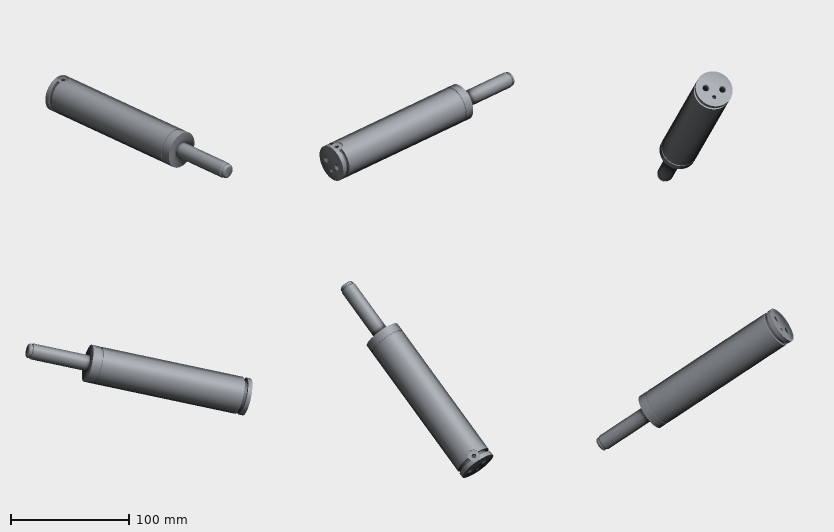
import cadquery as cq
import math

total_length = 195.0
body_radius = 16.0
body_end = 141.2
rod_radius = 6.8

rear_groove_start = 3.7
rear_groove_end = 6.8
rear_groove_radius = 13.3

collar_groove_start = 132.5
collar_groove_end = 134.0
collar_groove_radius = 15.5

shoulder_bevel_start = 190.3
tip_shoulder = 191.1
shoulder_radius = 6.6
tip_groove_start = 191.7
tip_groove_end = 192.7
tip_groove_radius = 5.7
tip_head_radius = 6.2
tip_rounding = 2.1

port_x = 5.7
port_radius = 5.3
plug_radius = 4.9
plug_top = 14.8
port_hole_radius = 2.0
port_hole_depth = 3.9

mount_hole_radius = 2.5
mount_hole_mouth_radius = 3.1
mount_hole_offset = 7.2
mount_hole_depth = 11.7
drill_point_angle = 118
rear_port_hole_radius = 1.8
rear_port_z = -7.6
rear_port_depth = 3.9


def rod_along_x(start, end, radius):
    return cq.Workplane("YZ").workplane(offset=start).circle(radius).extrude(end - start)


def ring_groove(start, end, inner_radius, outer_radius):
    groove = rod_along_x(start, end, outer_radius)
    return groove.cut(rod_along_x(start, end, inner_radius))


def make_rod():
    profile = (
        cq.Workplane("XZ")
        .moveTo(body_end, 0)
        .lineTo(body_end, rod_radius)
        .lineTo(shoulder_bevel_start, rod_radius)
        .lineTo(tip_shoulder, shoulder_radius)
        .lineTo(tip_groove_start, tip_groove_radius)
        .lineTo(tip_groove_end, tip_groove_radius)
        .lineTo(tip_groove_end, tip_head_radius)
        .lineTo(total_length, tip_head_radius)
        .lineTo(total_length, 0)
        .close()
    )
    rod = profile.revolve(360, (0, 0, 0), (1, 0, 0))
    return rod.faces(">X").edges().fillet(tip_rounding)


def add_side_port(solid):
    port = cq.Workplane("XY").center(port_x, 0)
    plug = port.circle(plug_radius).extrude(plug_top)
    spotface = port.workplane(offset=plug_top).circle(port_radius).extrude(body_radius)
    hole = port.workplane(offset=plug_top).circle(port_hole_radius).extrude(-port_hole_depth)
    return solid.union(plug).cut(spotface).cut(hole)


def mount_hole(y):
    """Drilled hole with a small countersunk mouth and a conical drill point."""
    mouth_depth = mount_hole_mouth_radius - mount_hole_radius
    point_depth = mount_hole_radius / math.tan(math.radians(drill_point_angle / 2))
    profile = (
        cq.Workplane("XY")
        .lineTo(0, mount_hole_mouth_radius)
        .lineTo(mouth_depth, mount_hole_radius)
        .lineTo(mount_hole_depth, mount_hole_radius)
        .lineTo(mount_hole_depth + point_depth, 0)
        .close()
    )
    return profile.revolve(360, (0, 0, 0), (1, 0, 0)).translate((0, y, 0))


body = rod_along_x(0, body_end, body_radius)
body = body.cut(ring_groove(rear_groove_start, rear_groove_end, rear_groove_radius, body_radius))
body = body.cut(
    ring_groove(collar_groove_start, collar_groove_end, collar_groove_radius, body_radius)
)

body = add_side_port(body)

for side in (-1, 1):
    body = body.cut(mount_hole(side * mount_hole_offset))
rear_port = rod_along_x(0, rear_port_depth, rear_port_hole_radius)
body = body.cut(rear_port.translate((0, 0, rear_port_z)))

result = body.union(make_rod())